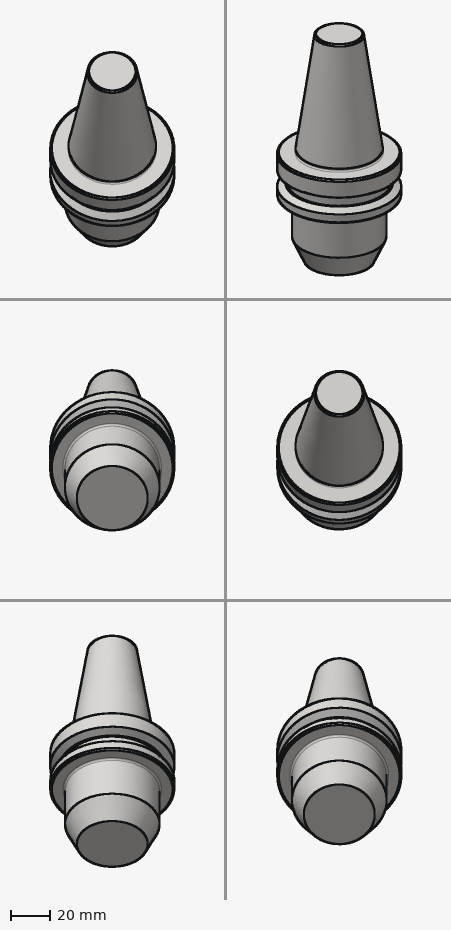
import cadquery as cq

total_height = 128.4
flange_radius = 31.52

nose_radius = 18.0
nose_height = 13.1
body_radius = 24.0
body_height = 36.2
body_fillet = 1.0

flange_height = 24.8
flange_chamfer = 0.9
upper_rim_height = 9.8
groove_radius = 26.5
groove_floor_height = 5.0
groove_flank_height = 2.3
groove_ledge_width = 0.9

neck_radius = 21.7
neck_height = 1.9
neck_fillet = 0.8

taper_large_radius = 22.2
taper_ratio = 7 / 24
taper_base_chamfer = 0.4
tip_chamfer = 0.9

flange_top = body_height + flange_height
groove_ledge_radius = groove_radius + groove_ledge_width
groove_top = flange_top - upper_rim_height
groove_floor_top = groove_top - groove_flank_height
groove_floor_bottom = groove_floor_top - groove_floor_height
groove_bottom = groove_floor_bottom - groove_flank_height
taper_base = flange_top + neck_height
taper_tip_radius = taper_large_radius - (total_height - taper_base) * taper_ratio / 2


def revolve_profile(points):
    """Revolve an outline of (radius, height) points about the Z axis."""
    return cq.Workplane("XZ").polyline(points).close().revolve(360, (0, 0), (0, 1))


def root_fillet(root_radius, face_level, size, side):
    """Concave ring from a cylinder to a flat face; side is +1 above the face, -1 below it."""
    far_level = face_level + side * size
    return (
        cq.Workplane("XZ")
        .moveTo(0, face_level)
        .lineTo(root_radius + size, face_level)
        .radiusArc((root_radius, far_level), side * size)
        .lineTo(0, far_level)
        .close()
        .revolve(360, (0, 0), (0, 1))
    )


body = revolve_profile([
    (0, 0),
    (nose_radius, 0),
    (body_radius, nose_height),
    (body_radius, body_height),
    (0, body_height),
])

flange = revolve_profile([
    (0, body_height),
    (flange_radius - flange_chamfer, body_height),
    (flange_radius, body_height + flange_chamfer),
    (flange_radius, groove_bottom),
    (groove_ledge_radius, groove_floor_bottom),
    (groove_radius, groove_floor_bottom),
    (groove_radius, groove_floor_top),
    (groove_ledge_radius, groove_floor_top),
    (flange_radius, groove_top),
    (flange_radius, flange_top - flange_chamfer),
    (flange_radius - flange_chamfer, flange_top),
    (0, flange_top),
])

shank = revolve_profile([
    (0, flange_top),
    (neck_radius, flange_top),
    (neck_radius, taper_base - taper_base_chamfer),
    (taper_large_radius, taper_base),
    (taper_tip_radius, total_height - tip_chamfer),
    (taper_tip_radius - tip_chamfer, total_height),
    (0, total_height),
])

body_root = root_fillet(body_radius, body_height, body_fillet, -1)
neck_root = root_fillet(neck_radius, flange_top, neck_fillet, 1)

result = body.union(body_root).union(flange).union(neck_root).union(shank)